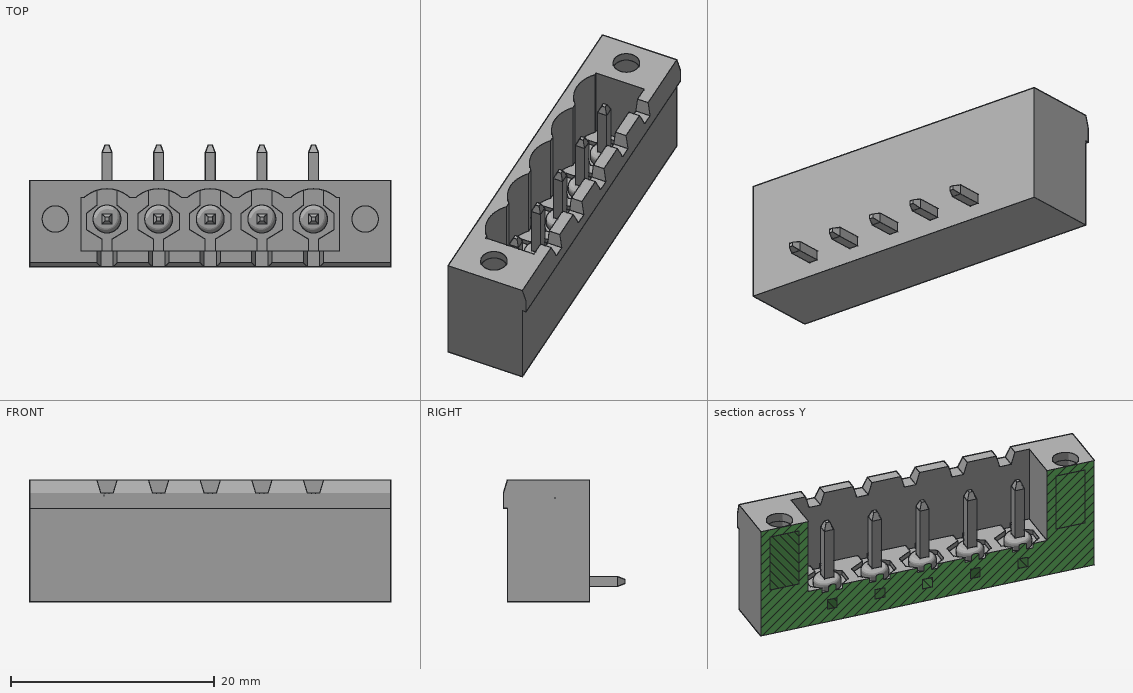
import cadquery as cq


PITCH = 5.08
PIN_COUNT = 5
PIN_XS = [(i - (PIN_COUNT - 1) / 2) * PITCH for i in range(PIN_COUNT)]

FLANGE_LENGTH = PITCH
LENGTH = PIN_COUNT * PITCH + 2 * FLANGE_LENGTH
HEIGHT = 12.0
BACK_Y = 3.8
FRONT_Y = -4.3

LIP_DEPTH = 0.4
LIP_HEIGHT = 2.8
LIP_BEVEL_HEIGHT = 1.3

CAVITY_LENGTH = PIN_COUNT * PITCH
CAVITY_FRONT_Y = -3.15
SCALLOP_CREST_Y = 2.98
SCALLOP_VALLEY_Y = 2.1
SCALLOP_HALF_WIDTH = 2.27
CAVITY_FLOOR_Z = 4.0

RECESS_DEPTH = 0.5
RECESS_BACK_HALF_WIDTH = 1.0
RECESS_MIDDLE_HALF_WIDTH = 2.03
RECESS_FRONT_HALF_WIDTH = 0.5
RECESS_BACK_NECK_Y = 1.35
RECESS_MIDDLE_BACK_Y = 0.55
RECESS_MIDDLE_FRONT_Y = -1.05
RECESS_FRONT_NECK_Y = -1.97

COLLAR_DIAMETER = 2.75
COLLAR_HEIGHT = 1.0
COLLAR_ROUNDING = 0.5

NOTCH_TOP_WIDTH = 2.0
NOTCH_BOTTOM_WIDTH = 1.22
NOTCH_DEPTH = LIP_BEVEL_HEIGHT

PIN_WIDTH = 1.0
PIN_TIP_WIDTH = 0.4
PIN_TIP_LENGTH = 0.77
PIN_TOP_Z = 10.7
PIN_TAIL_Z = 2.0
PIN_TAIL_PROTRUSION = 3.5
PIN_TAIL_END_Y = BACK_Y + PIN_TAIL_PROTRUSION

INSERT_X = (LENGTH - FLANGE_LENGTH) / 2
INSERT_XS = [-INSERT_X, INSERT_X]
INSERT_BORE = 2.6
INSERT_DIAMETER = 4.0
INSERT_SETBACK = 0.9
INSERT_LENGTH = 6.0
INSERT_TOP_Z = HEIGHT - INSERT_SETBACK
INSERT_BOTTOM_Z = INSERT_TOP_Z - INSERT_LENGTH


def block_with_lip():
    """Housing block, extruded along X from its side profile."""
    lip_y = FRONT_Y - LIP_DEPTH
    return (
        cq.Workplane("YZ")
        .moveTo(BACK_Y, 0)
        .lineTo(BACK_Y, HEIGHT)
        .lineTo(FRONT_Y, HEIGHT)
        .lineTo(lip_y, HEIGHT - LIP_BEVEL_HEIGHT)
        .lineTo(lip_y, HEIGHT - LIP_HEIGHT)
        .lineTo(FRONT_Y, HEIGHT - LIP_HEIGHT)
        .lineTo(FRONT_Y, 0)
        .close()
        .extrude(LENGTH / 2, both=True)
    )


def cavity():
    """Plug space whose back wall has one round scallop behind each pin."""
    half = CAVITY_LENGTH / 2
    outline = (
        cq.Workplane("XY", origin=(0, 0, CAVITY_FLOOR_Z))
        .moveTo(half, CAVITY_FRONT_Y)
        .lineTo(-half, CAVITY_FRONT_Y)
        .lineTo(-half, SCALLOP_VALLEY_Y)
    )
    for x in PIN_XS:
        outline = outline.lineTo(x - SCALLOP_HALF_WIDTH, SCALLOP_VALLEY_Y).threePointArc(
            (x, SCALLOP_CREST_Y), (x + SCALLOP_HALF_WIDTH, SCALLOP_VALLEY_Y)
        )
    return outline.lineTo(half, SCALLOP_VALLEY_Y).close().extrude(HEIGHT - CAVITY_FLOOR_Z)


def floor_recess(x):
    """Keyhole recess: a wide slot at the back, a broad middle and a narrow slot at the front."""
    right_side = [
        (RECESS_BACK_HALF_WIDTH, SCALLOP_CREST_Y),
        (RECESS_BACK_HALF_WIDTH, RECESS_BACK_NECK_Y),
        (RECESS_MIDDLE_HALF_WIDTH, RECESS_MIDDLE_BACK_Y),
        (RECESS_MIDDLE_HALF_WIDTH, RECESS_MIDDLE_FRONT_Y),
        (RECESS_FRONT_HALF_WIDTH, RECESS_FRONT_NECK_Y),
        (RECESS_FRONT_HALF_WIDTH, CAVITY_FRONT_Y),
    ]
    left_side = [(-half_width, y) for half_width, y in reversed(right_side)]
    prism = (
        cq.Workplane("XY", origin=(x, 0, CAVITY_FLOOR_Z - RECESS_DEPTH))
        .polyline(right_side + left_side)
        .close()
        .extrude(RECESS_DEPTH)
    )
    return prism.intersect(cavity().translate((0, 0, -RECESS_DEPTH)))


def collar(x):
    """Round-shouldered collar standing on the recess floor."""
    return (
        cq.Workplane("XY", origin=(x, 0, CAVITY_FLOOR_Z - RECESS_DEPTH))
        .circle(COLLAR_DIAMETER / 2)
        .extrude(COLLAR_HEIGHT)
        .faces(">Z")
        .edges()
        .fillet(COLLAR_ROUNDING)
    )


def coding_notch(x):
    """Tapered notch, cut from the cavity out through the front lip."""
    top = NOTCH_TOP_WIDTH / 2
    bottom = NOTCH_BOTTOM_WIDTH / 2
    return (
        cq.Workplane("XZ", origin=(x, CAVITY_FRONT_Y, HEIGHT))
        .polyline([(-top, 0), (top, 0), (bottom, -NOTCH_DEPTH), (-bottom, -NOTCH_DEPTH)])
        .close()
        .extrude(CAVITY_FRONT_Y - FRONT_Y + LIP_DEPTH)
    )


def pointed_bar(start_plane, length):
    """Square bar along the plane normal that ends in a blunt pyramid."""
    shank_length = length - PIN_TIP_LENGTH
    shank = start_plane.rect(PIN_WIDTH, PIN_WIDTH).extrude(shank_length)
    tip = (
        start_plane.workplane(offset=shank_length)
        .rect(PIN_WIDTH, PIN_WIDTH)
        .workplane(offset=PIN_TIP_LENGTH)
        .rect(PIN_TIP_WIDTH, PIN_TIP_WIDTH)
        .loft(combine=False)
    )
    return shank.union(tip)


def contact_pin(x):
    """Right-angle pin: an upright contact and a tail that leaves through the back face."""
    heel_y = -PIN_WIDTH / 2
    heel_z = PIN_TAIL_Z - PIN_WIDTH / 2
    contact = pointed_bar(cq.Workplane("XY", origin=(x, 0, heel_z)), PIN_TOP_Z - heel_z)
    tail_start = cq.Workplane(cq.Plane(origin=(x, heel_y, PIN_TAIL_Z), xDir=(1, 0, 0), normal=(0, 1, 0)))
    tail = pointed_bar(tail_start, PIN_TAIL_END_Y - heel_y)
    return contact.union(tail)


def flange_column(x, diameter, bottom_z, top_z):
    """Upright cylinder on the axis of a flange hole."""
    return cq.Workplane("XY", origin=(x, 0, bottom_z)).circle(diameter / 2).extrude(top_z - bottom_z)


def threaded_insert(x):
    """Sleeve seated below the flange top, its bore in line with the flange hole."""
    sleeve = flange_column(x, INSERT_DIAMETER, INSERT_BOTTOM_Z, INSERT_TOP_Z)
    return sleeve.cut(flange_column(x, INSERT_BORE, INSERT_BOTTOM_Z, INSERT_TOP_Z))


pins = [contact_pin(x) for x in PIN_XS]
inserts = [threaded_insert(x) for x in INSERT_XS]

housing = block_with_lip().cut(cavity())
for pin_x, pin in zip(PIN_XS, pins):
    housing = housing.cut(floor_recess(pin_x)).union(collar(pin_x)).cut(coding_notch(pin_x)).cut(pin)
for insert_x in INSERT_XS:
    housing = housing.cut(flange_column(insert_x, INSERT_DIAMETER, INSERT_BOTTOM_Z, INSERT_TOP_Z))
    housing = housing.cut(flange_column(insert_x, INSERT_BORE, INSERT_TOP_Z, HEIGHT))

result = cq.Compound.makeCompound(
    [housing.val(), *[pin.val() for pin in pins], *[insert.val() for insert in inserts]]
)